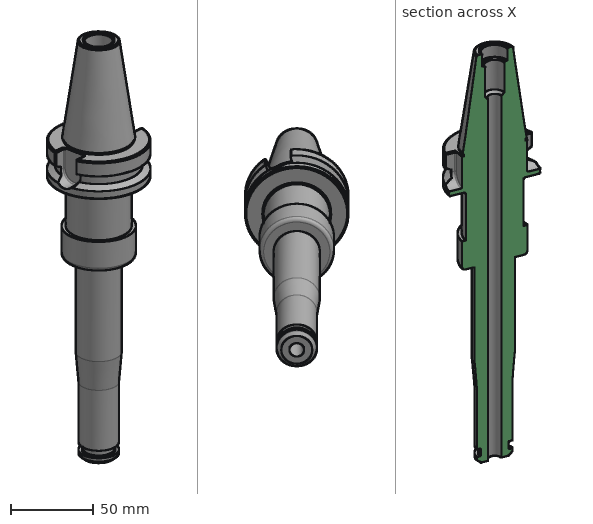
import cadquery as cq
import math

HEIGHT = 281.0

TAPER_RATIO = 7 / 24
GAUGE_Z = 215.5
GAUGE_DIAMETER = 44.5
TOP_CHAMFER = 0.8

RELIEF_DIAMETER = 42.7

FLANGE_DIAMETER = 63.0
FLANGE_TOP_Z = 213.8
FLANGE_BOTTOM_Z = 188.5
FLANGE_CHAMFER = 0.8
FLANGE_BLEND = 0.8
GROOVE_DIAMETER = 53.5
GROOVE_UPPER_RIM_Z = 204.2
GROOVE_UPPER_Z = 201.7
GROOVE_LOWER_Z = 196.5
GROOVE_LOWER_RIM_Z = 194.0

SLOT_WIDTH = 16.0
SLOT_FLOOR_Y = 22.5
SLOT_BOTTOM_Z = 192.0
SLOT_FLOOR_FILLET = 0.8
SLOT_RIM_CHAMFER = 0.8
CLEARANCE = 2.8

BODY_DIAMETER = 40.2
COLLAR_DIAMETER = 45.2
COLLAR_TOP_Z = 155.5
COLLAR_BOTTOM_Z = 135.5
COLLAR_FILLET = 2.5

SHANK_DIAMETER = 28.0
SHANK_BOTTOM_Z = 70.8
PILOT_DIAMETER = 24.7
PILOT_TOP_Z = 50.5

NECK_DIAMETER = 19.5
NECK_TOP_Z = 9.8
NECK_BLEND = 0.5
HEAD_TOP_Z = 4.8
HEAD_RIM_CHAMFER = 0.5
TIP_CONE_HEIGHT = 2.0
TIP_DIAMETER = 18.8

BORE_DIAMETER = 9.0
COUNTERBORE_DIAMETER = 17.0
COUNTERBORE_DEPTH = 8.7
LEAD_IN_DIAMETER = 15.0
THREAD_DIAMETER = 13.0
THREAD_DEPTH = 30.0
MOUTH_DIAMETER = 19.5
MOUTH_DEPTH = 0.5


def taper_radius(z):
    """Radius of the 7:24 taper at height z."""
    return (GAUGE_DIAMETER - TAPER_RATIO * (z - GAUGE_Z)) / 2


def revolve_profile(points):
    """Solid of revolution about Z from (radius, z) points."""
    return cq.Workplane("XZ").polyline(points).close().revolve(360, (0, 0), (0, 1))


def outer_body():
    """Outside from the tip to the top of the taper, all but the collar."""
    flange_r = FLANGE_DIAMETER / 2
    groove_r = GROOVE_DIAMETER / 2
    body_r = BODY_DIAMETER / 2
    shank_r = SHANK_DIAMETER / 2
    pilot_r = PILOT_DIAMETER / 2
    neck_r = NECK_DIAMETER / 2
    relief_r = RELIEF_DIAMETER / 2
    relief_step = taper_radius(GAUGE_Z) - relief_r
    chamfer_z = HEIGHT - TOP_CHAMFER
    return revolve_profile([
        (0, 0),
        (TIP_DIAMETER / 2, 0),
        (pilot_r - HEAD_RIM_CHAMFER, TIP_CONE_HEIGHT),
        (pilot_r, TIP_CONE_HEIGHT + HEAD_RIM_CHAMFER),
        (pilot_r, HEAD_TOP_Z),
        (neck_r + NECK_BLEND, HEAD_TOP_Z),
        (neck_r, HEAD_TOP_Z + NECK_BLEND),
        (neck_r, NECK_TOP_Z - NECK_BLEND),
        (neck_r + NECK_BLEND, NECK_TOP_Z),
        (pilot_r, NECK_TOP_Z),
        (pilot_r, PILOT_TOP_Z),
        (shank_r, SHANK_BOTTOM_Z),
        (shank_r, COLLAR_TOP_Z),
        (body_r, COLLAR_TOP_Z),
        (body_r, FLANGE_BOTTOM_Z - FLANGE_BLEND),
        (body_r + FLANGE_BLEND, FLANGE_BOTTOM_Z),
        (flange_r - FLANGE_CHAMFER, FLANGE_BOTTOM_Z),
        (flange_r, FLANGE_BOTTOM_Z + FLANGE_CHAMFER),
        (flange_r, GROOVE_LOWER_RIM_Z),
        (groove_r, GROOVE_LOWER_Z),
        (groove_r, GROOVE_UPPER_Z),
        (flange_r, GROOVE_UPPER_RIM_Z),
        (flange_r, FLANGE_TOP_Z - FLANGE_CHAMFER),
        (flange_r - FLANGE_CHAMFER, FLANGE_TOP_Z),
        (relief_r, FLANGE_TOP_Z),
        (relief_r, GAUGE_Z - relief_step),
        (taper_radius(GAUGE_Z), GAUGE_Z),
        (taper_radius(chamfer_z), chamfer_z),
        (taper_radius(chamfer_z) - TOP_CHAMFER, HEIGHT),
        (0, HEIGHT),
    ])


def collar():
    """Ring around the lower end of the body, rounded at its lower rim."""
    return (
        cq.Workplane("XY", origin=(0, 0, COLLAR_BOTTOM_Z))
        .circle(COLLAR_DIAMETER / 2)
        .extrude(COLLAR_TOP_Z - COLLAR_BOTTOM_Z)
        .faces("<Z")
        .edges()
        .fillet(COLLAR_FILLET)
    )


def bore():
    """Through hole with the threaded length and counterbore above it, each with a conical lead-in."""
    bore_r = BORE_DIAMETER / 2
    thread_r = THREAD_DIAMETER / 2
    lead_in_r = LEAD_IN_DIAMETER / 2
    counterbore_r = COUNTERBORE_DIAMETER / 2
    counterbore_z = HEIGHT - COUNTERBORE_DEPTH
    thread_z = HEIGHT - THREAD_DEPTH
    return revolve_profile([
        (0, 0),
        (bore_r, 0),
        (bore_r, thread_z - (thread_r - bore_r)),
        (thread_r, thread_z),
        (thread_r, counterbore_z - (lead_in_r - thread_r)),
        (lead_in_r, counterbore_z),
        (counterbore_r, counterbore_z),
        (counterbore_r, HEIGHT - MOUTH_DEPTH),
        (MOUTH_DIAMETER / 2, HEIGHT),
        (0, HEIGHT),
    ])


def flare(workplane, edge, length):
    """Prism extruded from the workplane that widens the slot at 45 degrees up to an edge."""
    slot_r = SLOT_WIDTH / 2
    flare_r = slot_r + SLOT_RIM_CHAMFER
    return (
        workplane.polyline([
            (-slot_r, edge - SLOT_RIM_CHAMFER),
            (slot_r, edge - SLOT_RIM_CHAMFER),
            (flare_r, edge),
            (flare_r, edge + CLEARANCE),
            (-flare_r, edge + CLEARANCE),
            (-flare_r, edge),
        ])
        .close()
        .extrude(length)
    )


def drive_slot():
    """Cutter for the round-bottomed +Y slot, with a filleted floor and chamfered upper rims."""
    slot_r = SLOT_WIDTH / 2
    flange_r = FLANGE_DIAMETER / 2
    center_z = SLOT_BOTTOM_Z + slot_r
    top_z = FLANGE_TOP_Z + CLEARANCE
    floor_plane = cq.Workplane("XZ", origin=(0, SLOT_FLOOR_Y, 0))
    outward = SLOT_FLOOR_Y - (flange_r + CLEARANCE)

    slot = (
        floor_plane.moveTo(-slot_r, top_z)
        .lineTo(-slot_r, center_z)
        .threePointArc((0, SLOT_BOTTOM_Z), (slot_r, center_z))
        .lineTo(slot_r, top_z)
        .close()
        .extrude(outward)
        .faces("<Y")
        .edges()
        .fillet(SLOT_FLOOR_FILLET)
    )

    top_flare = flare(floor_plane, FLANGE_TOP_Z, outward)
    rim_y = math.sqrt(flange_r**2 - (slot_r + SLOT_RIM_CHAMFER) ** 2)
    groove_plane = cq.Workplane("XY", origin=(0, 0, GROOVE_UPPER_Z))
    rim_flare = flare(groove_plane, rim_y, FLANGE_TOP_Z - GROOVE_UPPER_Z)
    return slot.union(top_flare).union(rim_flare)


slot = drive_slot()
result = outer_body().union(collar()).cut(bore()).cut(slot).cut(slot.mirror("XZ"))